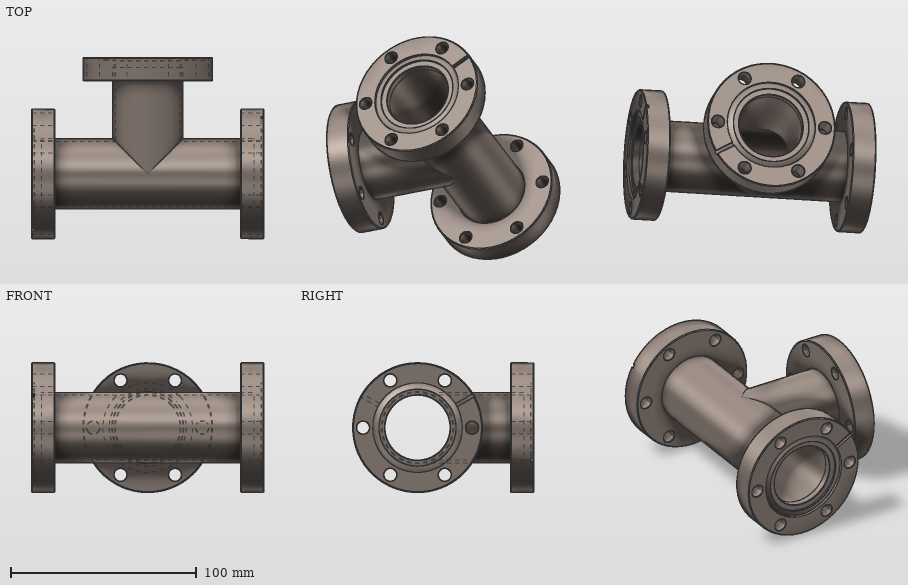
import cadquery as cq
import math

port_reach = 62.7
tube_diameter = 38.0
tube_bore = 35.0

flange_diameter = 70.0
flange_thickness = 12.7
flange_bore = tube_bore
bore_chamfer = 0.31
rim_chamfer = 0.5
socket_chamfer = 0.44
weld_shoulder_depth = 5.4

recess_diameter = 48.3
recess_depth = 1.6
knife_diameter = 41.6
knife_tip_width = 0.1
knife_slope = 20.0
knife_floor_depth = 1.5

bolt_count = 6
bolt_circle = 58.7
bolt_hole_diameter = 6.8
bolt_hole_chamfer = 0.3

groove_width = 2.0
groove_depth = recess_depth
groove_angle = 180.0 / bolt_count

flange_radius = flange_diameter / 2
bore_radius = flange_bore / 2
recess_radius = recess_diameter / 2
knife_radius = knife_diameter / 2
knife_inner_radius = knife_radius - knife_tip_width
knife_height = (recess_radius - knife_radius) * math.tan(math.radians(knife_slope))
knife_tip_depth = recess_depth - knife_height


def make_blank():
    """Disc with its face at Z = 0, turned with the bore and the knife-edge seal."""
    return (
        cq.Workplane("XZ")
        .moveTo(bore_radius, -flange_thickness)
        .lineTo(flange_radius - rim_chamfer, -flange_thickness)
        .lineTo(flange_radius, rim_chamfer - flange_thickness)
        .lineTo(flange_radius, -rim_chamfer)
        .lineTo(flange_radius - rim_chamfer, 0)
        .lineTo(recess_radius, 0)
        .lineTo(recess_radius, -recess_depth)
        .lineTo(knife_radius, -knife_tip_depth)
        .lineTo(knife_inner_radius, -knife_tip_depth)
        .lineTo(knife_inner_radius, -knife_floor_depth)
        .lineTo(bore_radius + bore_chamfer, -knife_floor_depth)
        .lineTo(bore_radius, -knife_floor_depth - bore_chamfer)
        .close()
        .revolve(360, (0, 0, 0), (0, 1, 0))
    )


def make_tube_socket():
    """Cutter for the tube socket in the flange back, widened by a chamfer at its mouth."""
    socket_radius = tube_diameter / 2
    return (
        cq.Workplane("XZ")
        .moveTo(0, -weld_shoulder_depth)
        .lineTo(socket_radius, -weld_shoulder_depth)
        .lineTo(socket_radius, socket_chamfer - flange_thickness)
        .lineTo(socket_radius + socket_chamfer, -flange_thickness)
        .lineTo(0, -flange_thickness)
        .close()
        .revolve(360, (0, 0, 0), (0, 1, 0))
    )


def make_bolt_hole():
    """Cutter for one through hole on the Z axis, chamfered at both ends."""
    hole_radius = bolt_hole_diameter / 2
    mouth_radius = hole_radius + bolt_hole_chamfer
    return (
        cq.Workplane("XZ")
        .moveTo(0, 0)
        .lineTo(mouth_radius, 0)
        .lineTo(hole_radius, -bolt_hole_chamfer)
        .lineTo(hole_radius, bolt_hole_chamfer - flange_thickness)
        .lineTo(mouth_radius, -flange_thickness)
        .lineTo(0, -flange_thickness)
        .close()
        .revolve(360, (0, 0, 0), (0, 1, 0))
    )


def make_groove():
    """Cutter for the leak-check groove, running from the recess out through the rim."""
    groove_start = math.sqrt(recess_radius**2 - (groove_width / 2) ** 2)
    return (
        cq.Workplane("XY")
        .box(flange_radius, groove_width, groove_depth, centered=(False, True, False))
        .translate((groove_start, 0, -groove_depth))
        .rotate((0, 0, 0), (0, 0, 1), groove_angle)
    )


def make_flange():
    """Flange with its face at Z = 0, one bolt hole on +X and its body towards -Z."""
    flange = make_blank().cut(make_tube_socket()).cut(make_groove())
    bolt_hole = make_bolt_hole().translate((bolt_circle / 2, 0, 0))
    for index in range(bolt_count):
        flange = flange.cut(bolt_hole.rotate((0, 0, 0), (0, 0, 1), index * 360 / bolt_count))
    return flange


def make_cross(diameter, end_reach):
    """Run along X joined by a branch along +Y, as solid round bars."""
    run = cq.Workplane("YZ").circle(diameter / 2).extrude(end_reach, both=True)
    branch = cq.Workplane("XZ").circle(diameter / 2).extrude(-end_reach)
    return run.union(branch)


tube_reach = port_reach - weld_shoulder_depth
tee_tube = make_cross(tube_diameter, tube_reach).cut(make_cross(tube_bore, tube_reach))

ports = [
    ((-1, 0, 0), (0, -1, 0)),
    ((1, 0, 0), (0, 1, 0)),
    ((0, 1, 0), (1, 0, 0)),
]
flange = make_flange()
flanges = []
for outward, first_bolt in ports:
    face_centre = tuple(port_reach * step for step in outward)
    port_plane = cq.Plane(origin=face_centre, xDir=first_bolt, normal=outward)
    flanges.append(flange.val().moved(cq.Location(port_plane)))

result = cq.Compound.makeCompound([tee_tube.val(), *flanges])